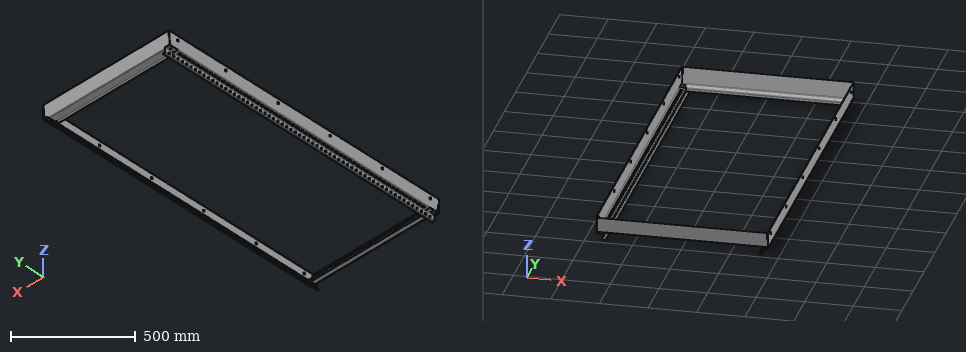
import cadquery as cq

frame_width = 710.0
frame_length = 1560.0
frame_height = 98.0
sheet = 2.0
bend_radius = 3.0
inner_bend_radius = bend_radius - sheet

side_rail_length = 1550.0
shelf_top = 28.0
shelf_bottom = shelf_top - sheet
step_start = 25.0
step_end = step_start + sheet
foot_reach = 39.0
foot_bend_radius = 5.0

shelf_hole_count = 57
shelf_row_length = 1400.0
shelf_hole_width = 8.0
shelf_hole_length = 14.0
shelf_hole_offset = 15.0
step_hole_count = 61
step_row_length = 1500.0
step_hole_diameter = 8.0
step_hole_height = 10.0

mount_hole_diameter = 10.0
mount_hole_height = 75.0
mount_hole_places = (150.0, 451.0, 727.0)

end_rail_top = 97.0
end_shelf_top = shelf_top + sheet
end_web_lean = 11.7
end_shelf_reach = 55.0
end_lip_bottom = 14.0
web_end_gap = 3.0
lip_end_gap = 3.0
upper_web_start = 69.0
upper_web_inset = 2.3
bolt_hole_diameter = 8.0
bolt_hole_spacing = 1500.0
bolt_hole_offset = 17.0

half_width = frame_width / 2
half_length = frame_length / 2


def round_fold(body, place, radius):
    """Fillet the long edge that passes closest to a place."""
    return body.edges(cq.selectors.NearestToPointSelector(place)).fillet(radius)


def side_rail_strip(side):
    """Folded strip without holes. Its section is measured inwards from the outer face."""
    section = [
        (0, frame_height),
        (sheet, frame_height),
        (sheet, shelf_top),
        (step_end, shelf_top),
        (step_end, sheet),
        (foot_reach, sheet),
        (foot_reach, 0),
        (step_start, 0),
        (step_start, shelf_bottom),
        (0, shelf_bottom),
    ]
    folds = [
        (0, shelf_bottom, bend_radius),
        (sheet, shelf_top, inner_bend_radius),
        (step_end, shelf_top, bend_radius),
        (step_start, shelf_bottom, inner_bend_radius),
        (step_start, 0, foot_bend_radius),
        (step_end, sheet, foot_bend_radius - sheet),
    ]
    points = [(side * (half_width - inward), z) for inward, z in section]
    strip = cq.Workplane("XZ").polyline(points).close().extrude(side_rail_length / 2, both=True)
    for inward, z, radius in folds:
        strip = round_fold(strip, (side * (half_width - inward), 0, z), radius)
    return strip


def make_side_rail(side):
    """Rail at -X (side = -1) or +X (side = 1)."""
    shelf_holes = (
        cq.Workplane("XY", origin=(side * (half_width - shelf_hole_offset), 0, 0))
        .rarray(15, shelf_row_length / (shelf_hole_count - 1), 1, shelf_hole_count)
        .rect(shelf_hole_width, shelf_hole_length)
        .extrude(end_shelf_top)
    )
    step_middle = side * (half_width - (step_start + step_end) / 2)
    step_holes = (
        cq.Workplane("YZ", origin=(step_middle, 0, step_hole_height))
        .rarray(step_row_length / (step_hole_count - 1), 15, step_hole_count, 1)
        .circle(step_hole_diameter / 2)
        .extrude(sheet, both=True)
    )
    mount_points = [(end * y, mount_hole_height) for y in mount_hole_places for end in (-1, 1)]
    mount_holes = (
        cq.Workplane("YZ", origin=(side * half_width, 0, 0))
        .pushPoints(mount_points)
        .circle(mount_hole_diameter / 2)
        .extrude(2 * sheet, both=True)
    )
    return side_rail_strip(side).cut(shelf_holes).cut(step_holes).cut(mount_holes)


def end_rail_strip(end, half_span):
    """Folded strip of constant section, measured inwards from the top edge of the web."""
    lip_start = end_shelf_reach - sheet
    web_foot = end_web_lean + sheet
    section = [
        (0, end_rail_top),
        (sheet, end_rail_top),
        (web_foot, end_shelf_top),
        (end_shelf_reach, end_shelf_top),
        (end_shelf_reach, end_lip_bottom),
        (lip_start, end_lip_bottom),
        (lip_start, shelf_top),
        (end_web_lean, shelf_top),
    ]
    folds = [
        (end_web_lean, shelf_top, bend_radius),
        (web_foot, end_shelf_top, inner_bend_radius),
        (end_shelf_reach, end_shelf_top, bend_radius),
        (lip_start, shelf_top, inner_bend_radius),
    ]
    points = [(end * (half_length - inward), z) for inward, z in section]
    strip = cq.Workplane("YZ").polyline(points).close().extrude(half_span, both=True)
    for inward, z, radius in folds:
        strip = round_fold(strip, (0, end * (half_length - inward), z), radius)
    return strip


def make_end_rail(end):
    """Rail at -Y (end = -1) or +Y (end = 1)."""
    web_half = half_width - web_end_gap
    lip_half = half_width - step_end - lip_end_gap

    upper_height = frame_height - upper_web_start
    web_notches = (
        cq.Workplane("XY", origin=(0, end * half_length, upper_web_start + upper_height / 2))
        .rarray(2 * web_half, 15, 2, 1)
        .box(2 * upper_web_inset, 2 * end_shelf_reach, upper_height)
    )

    corner_y = end * (half_length - end_shelf_reach + bend_radius / 2)

    def corner_blocks(bottom):
        """Blocks from a height up to the top of the shelf, one at each end of the lip."""
        return (
            cq.Workplane("XY", origin=(0, corner_y, bottom))
            .rarray(web_half + lip_half, 15, 2, 1)
            .rect(web_half - lip_half, bend_radius)
            .extrude(end_shelf_top - bottom)
        )

    lip_notches = corner_blocks(0)
    corner_tabs = corner_blocks(shelf_top)

    bolt_holes = (
        cq.Workplane("XY", origin=(0, end * bolt_hole_spacing / 2, 0))
        .rarray(frame_width - 2 * bolt_hole_offset, 15, 2, 1)
        .circle(bolt_hole_diameter / 2)
        .extrude(2 * end_shelf_top)
    )
    strip = end_rail_strip(end, web_half)
    return strip.cut(web_notches).cut(lip_notches).union(corner_tabs).cut(bolt_holes)


side_rails = [make_side_rail(side) for side in (-1, 1)]
end_rails = [make_end_rail(end) for end in (-1, 1)]

result = cq.Compound.makeCompound([rail.solids().val() for rail in side_rails + end_rails])